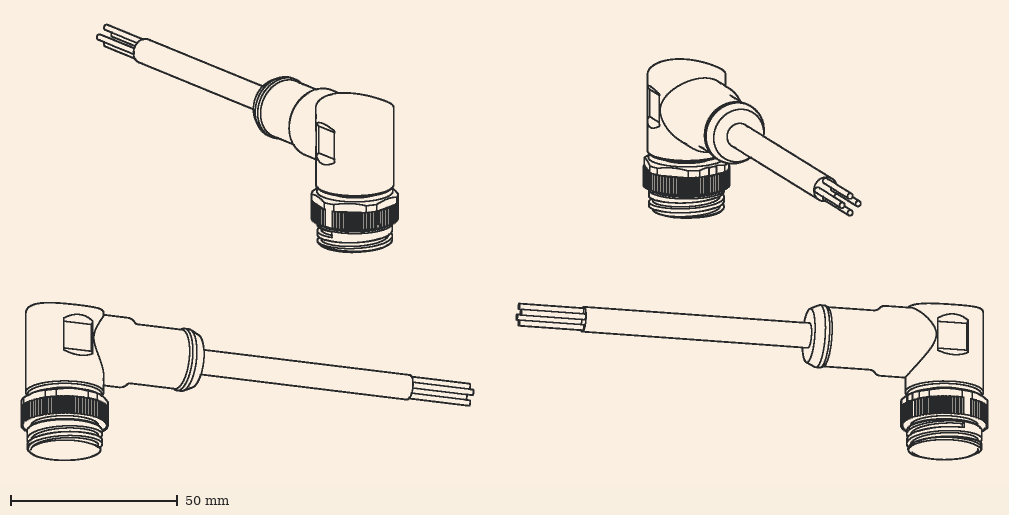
import cadquery as cq
import math


overall_length = 144.5
top_z = 11.0
bottom_z = -32.8

cable_radius = 3.8
core_radius = 0.9
core_offset = 2.6
core_length = 19.8
core_count = 4

entry_x = -41.9
lip_x = -39.0
lip_end_x = -37.7
neck_x = -36.8
neck_end_x = -22.1
flare_x = -20.2
arm_x = -19.2
entry_radius = 8.1
lip_radius = 9.4
neck_radius = 9.0
flare_radius = 10.0
arm_radius = 10.5
lip_bow = 0.07
flare_bow = 0.22
shoulder_bow = 0.12

body_radius = 11.7
body_bottom_z = -15.3
dome_radius = 43.3
body_rounding = 0.7
body_bottom_chamfer = 0.6

pocket_floor_y = 10.1
pocket_floor_half_width = 4.5
pocket_floor_half_height = 4.2
pocket_side_flare = 0.6
pocket_end_flare = 2.2

stem_radius = 7.2

nut_radius = 13.0
nut_top_z = -16.8
nut_bottom_z = -25.1
nut_top_radius = 11.4
nut_chamfer_height = 0.9
band_bottom_z = -19.8
panel_count = 6
panel_span = 44.5
strip_angle = -71.7
knurl_count = 72
knurl_depth = 0.5
knurl_mouth = 1.0
knurl_clearance = 0.07
smooth_teeth = 3

pad_panel = 5
pad_width = 2.9
pad_height = 0.3

nub_reach = 13.1
nub_width = 1.2
nub_height = 1.3
nub_y = -0.6

thread_radius = 11.3
thread_root_radius = 10.1
thread_top_z = -26.3
thread_top_chamfer = 0.5
thread_bottom_chamfer = 0.6
thread_pitch = 3.0
groove_turns = 2.5
groove_root_width = 1.2
groove_mouth_width = 2.0
groove_end_z = -27.7
groove_end_angle = -72.0
groove_clearance = 0.5

core_tip_x = nub_reach - overall_length
cable_end_x = core_tip_x + core_length
panel_distance = nut_radius * math.cos(math.radians(panel_span / 2))
first_panel = strip_angle + 180 / panel_count


def cylinder_z(radius, low_z, high_z):
    return cq.Workplane("XY").workplane(offset=low_z).circle(radius).extrude(high_z - low_z)


def make_cable():
    cable_length = entry_x - cable_end_x
    cable = cq.Workplane("YZ").workplane(offset=cable_end_x).circle(cable_radius).extrude(cable_length)
    cores = (
        cq.Workplane("YZ")
        .workplane(offset=core_tip_x)
        .polarArray(core_offset, 0, 360, core_count)
        .circle(core_radius)
        .extrude(core_length)
    )
    return cable.union(cores)


def arc_middle(x1, radius1, x2, radius2, bow):
    return ((x1 + x2) / 2, (radius1 + radius2) / 2 + bow)


def make_sleeve():
    lip_bulge = arc_middle(entry_x, entry_radius, lip_x, lip_radius, lip_bow)
    flare_hollow = arc_middle(neck_end_x, neck_radius, flare_x, flare_radius, -flare_bow)
    arm_shoulder = arc_middle(flare_x, flare_radius, arm_x, arm_radius, shoulder_bow)
    profile = (
        cq.Workplane("XZ")
        .moveTo(entry_x, 0)
        .lineTo(entry_x, entry_radius)
        .threePointArc(lip_bulge, (lip_x, lip_radius))
        .lineTo(lip_end_x, lip_radius)
        .lineTo(neck_x, neck_radius)
        .lineTo(neck_end_x, neck_radius)
        .threePointArc(flare_hollow, (flare_x, flare_radius))
        .threePointArc(arm_shoulder, (arm_x, arm_radius))
        .lineTo(0, arm_radius)
        .lineTo(0, 0)
        .close()
    )
    return profile.revolve(360, (0, 0, 0), (1, 0, 0))


def make_body():
    body = cylinder_z(body_radius, body_bottom_z, top_z)
    body = body.faces("<Z").chamfer(body_bottom_chamfer)
    vault = (
        cq.Workplane("YZ")
        .center(0, top_z - dome_radius)
        .circle(dome_radius)
        .extrude(2 * body_radius, both=True)
    )
    return body.intersect(vault).faces(">Z").edges().fillet(body_rounding)


def make_pocket():
    depth = body_radius - pocket_floor_y
    mouth_half_width = pocket_floor_half_width + pocket_side_flare
    mouth_half_height = pocket_floor_half_height + pocket_end_flare
    return (
        cq.Workplane("XZ", origin=(0, -pocket_floor_y, 0))
        .rect(2 * pocket_floor_half_width, 2 * pocket_floor_half_height)
        .workplane(offset=depth)
        .rect(2 * mouth_half_width, 2 * mouth_half_height)
        .loft()
    )


def make_nut():
    nut = (
        cq.Workplane("XZ")
        .moveTo(0, nut_bottom_z)
        .lineTo(nut_radius, nut_bottom_z)
        .lineTo(nut_radius, nut_top_z - nut_chamfer_height)
        .lineTo(nut_top_radius, nut_top_z)
        .lineTo(0, nut_top_z)
        .close()
        .revolve(360, (0, 0, 0), (0, 1, 0))
    )
    nut = nut.cut(make_panel_cutters().cut(make_pad()))
    return nut.cut(make_knurl_cutters()).union(make_nub())


def make_panel_cutters():
    panel_depth = nut_radius - panel_distance
    band_height = nut_top_z - band_bottom_z
    return (
        cq.Workplane("XY")
        .workplane(offset=band_bottom_z)
        .polarArray(panel_distance + panel_depth / 2, first_panel, 360, panel_count)
        .rect(panel_depth, nut_radius)
        .extrude(band_height)
    )


def make_pad():
    band_height = nut_top_z - band_bottom_z
    pad = cq.Workplane("XY").box(pad_height, pad_width, band_height, centered=(False, True, False))
    pad_angle = first_panel + (pad_panel - 1) * 360 / panel_count
    return pad.translate((panel_distance, 0, band_bottom_z)).rotate((0, 0, 0), (0, 0, 1), pad_angle)


def make_knurl_cutters():
    tooth_angle = 360 / knurl_count
    groove_count = knurl_count - smooth_teeth + 1
    first_groove = strip_angle + smooth_teeth * tooth_angle / 2
    last_groove = first_groove + (groove_count - 1) * tooth_angle
    groove = cq.Sketch().polygon([
        (-knurl_depth, 0),
        (knurl_clearance, -knurl_mouth / 2),
        (knurl_clearance, knurl_mouth / 2),
        (-knurl_depth, 0),
    ])
    return (
        cq.Workplane("XY")
        .polarArray(nut_radius, first_groove, last_groove - first_groove, groove_count)
        .placeSketch(groove)
        .extrude(band_bottom_z - nut_bottom_z)
        .translate((0, 0, nut_bottom_z))
    )


def make_nub():
    nub_depth = nub_reach - thread_radius
    nub = cq.Workplane("XY").box(nub_depth, nub_width, nub_height, centered=(False, True, False))
    return nub.translate((thread_radius, nub_y, nut_bottom_z))


def make_thread():
    end = cylinder_z(thread_radius, bottom_z, thread_top_z)
    end = end.faces(">Z").chamfer(thread_top_chamfer)
    end = end.faces("<Z").chamfer(thread_bottom_chamfer)
    neck = cylinder_z(thread_root_radius, thread_top_z, nut_bottom_z)
    return end.union(neck).cut(make_thread_groove())


def make_thread_groove():
    height = groove_turns * thread_pitch
    path = cq.Wire.makeHelix(thread_pitch, height, thread_root_radius)
    mouth_radius = thread_radius + groove_clearance
    groove = (
        cq.Workplane("XZ")
        .polyline([
            (thread_root_radius, -groove_root_width / 2),
            (mouth_radius, -groove_mouth_width / 2),
            (mouth_radius, groove_mouth_width / 2),
            (thread_root_radius, groove_root_width / 2),
        ])
        .close()
        .sweep(cq.Workplane(obj=path), isFrenet=True)
    )
    turn = groove_end_angle - 360 * groove_turns
    return groove.rotate((0, 0, 0), (0, 0, 1), turn).translate((0, 0, groove_end_z - height))


pocket = make_pocket()
housing = make_body().union(make_sleeve()).cut(pocket).cut(pocket.mirror("XZ"))
stem = cylinder_z(stem_radius, nut_top_z, body_bottom_z)
result = housing.union(make_cable()).union(stem).union(make_nut()).union(make_thread())